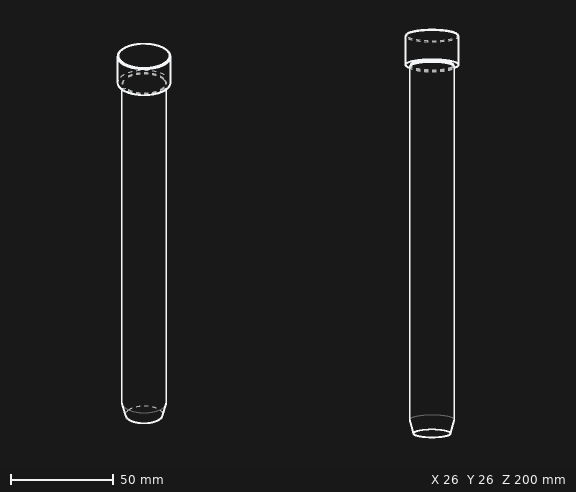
import cadquery as cq
import math

total_length = 200.0
head_diameter = 26.0
head_height = 15.0
head_chamfer = 0.5
shank_diameter = 22.0

groove_width = 0.5
groove_depth = 0.5

taper_length = 7.0
taper_angle = 15.0

head_radius = head_diameter / 2
shank_radius = shank_diameter / 2
groove_radius = shank_radius - groove_depth
tip_radius = shank_radius - taper_length * math.tan(math.radians(taper_angle))
head_bottom = total_length - head_height
groove_bottom = head_bottom - groove_width

profile = (
    cq.Workplane("XZ")
    .moveTo(0, 0)
    .lineTo(tip_radius, 0)
    .lineTo(shank_radius, taper_length)
    .lineTo(shank_radius, groove_bottom - groove_depth)
    .lineTo(groove_radius, groove_bottom)
    .lineTo(groove_radius, head_bottom)
    .lineTo(head_radius, head_bottom)
    .lineTo(head_radius, total_length - head_chamfer)
    .lineTo(head_radius - head_chamfer, total_length)
    .lineTo(0, total_length)
    .close()
)

result = profile.revolve(360, (0, 0, 0), (0, 1, 0))